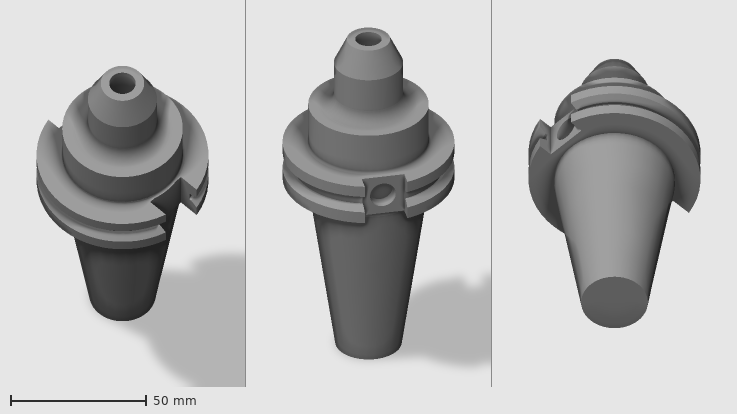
import cadquery as cq
import math

total_height = 131.8
taper_top = 68.2
flange_bottom = 71.4
flange_top = 87.2
shoulder_height = 103.5
nose_cone_bottom = 121.7

gauge_radius = 22.3
taper_ratio = 7 / 24
taper_end_radius = gauge_radius - taper_top * taper_ratio / 2
flange_radius = 31.8
body_radius = gauge_radius
body_fillet = 0.9
nose_radius = 12.8
nose_fillet = 4.9
tip_radius = 8.0

groove_radius = 28.0
groove_floor_width = 3.5
groove_mouth_width = 6.7
groove_flank_angle = 30
groove_flank_height = (groove_mouth_width - groove_floor_width) / 2
groove_step_radius = flange_radius - groove_flank_height / math.tan(math.radians(groove_flank_angle))
groove_middle = 79.5

slot_width = 16.1
left_slot_floor = 25.2
right_slot_floor = 22.5

bore_radius = 4.9
bore_depth = 26.4
side_hole_radius = 4.9
side_hole_depth = 5.0
flange_thickness = flange_top - flange_bottom
flange_middle = (flange_top + flange_bottom) / 2


def turned_body():
    """Revolve the taper, flange, cylindrical body and nose about Z."""
    arc_offset = 1 - math.sqrt(0.5)
    profile = (
        cq.Workplane("XZ")
        .lineTo(taper_end_radius, 0)
        .lineTo(gauge_radius, taper_top)
        .lineTo(gauge_radius, flange_bottom)
        .lineTo(flange_radius, flange_bottom)
        .lineTo(flange_radius, flange_top)
        .lineTo(body_radius + body_fillet, flange_top)
        .threePointArc(
            (body_radius + body_fillet * arc_offset, flange_top + body_fillet * arc_offset),
            (body_radius, flange_top + body_fillet),
        )
        .lineTo(body_radius, shoulder_height)
        .lineTo(nose_radius + nose_fillet, shoulder_height)
        .threePointArc(
            (nose_radius + nose_fillet * arc_offset, shoulder_height + nose_fillet * arc_offset),
            (nose_radius, shoulder_height + nose_fillet),
        )
        .lineTo(nose_radius, nose_cone_bottom)
        .lineTo(tip_radius, total_height)
        .lineTo(0, total_height)
        .close()
    )
    return profile.revolve(360, (0, 0, 0), (0, 1, 0))


def flange_groove():
    """Ring with sloping flanks that end in a straight-walled channel."""
    section = cq.Workplane("XZ").polyline([
        (groove_radius, groove_middle - groove_floor_width / 2),
        (groove_step_radius, groove_middle - groove_floor_width / 2),
        (flange_radius, groove_middle - groove_mouth_width / 2),
        (flange_radius, groove_middle + groove_mouth_width / 2),
        (groove_step_radius, groove_middle + groove_floor_width / 2),
        (groove_radius, groove_middle + groove_floor_width / 2),
    ]).close()
    return section.revolve(360, (0, 0, 0), (0, 1, 0))


def drive_slot(side, floor):
    """Slot through the flange height; side is -1 or 1 along X."""
    depth = flange_radius - floor
    middle = side * (floor + depth / 2)
    return cq.Workplane("XY").box(depth, slot_width, flange_thickness).translate((middle, 0, flange_middle))


def nose_bore():
    """Blind bore down from the tip."""
    return cq.Workplane("XY", origin=(0, 0, total_height)).circle(bore_radius).extrude(-bore_depth)


def side_hole():
    """Blind radial hole in the floor of the -X slot."""
    return (
        cq.Workplane("YZ", origin=(-left_slot_floor, 0, flange_middle))
        .circle(side_hole_radius)
        .extrude(side_hole_depth)
    )


result = (
    turned_body()
    .cut(flange_groove())
    .cut(drive_slot(-1, left_slot_floor))
    .cut(drive_slot(1, right_slot_floor))
    .cut(nose_bore())
    .cut(side_hole())
)